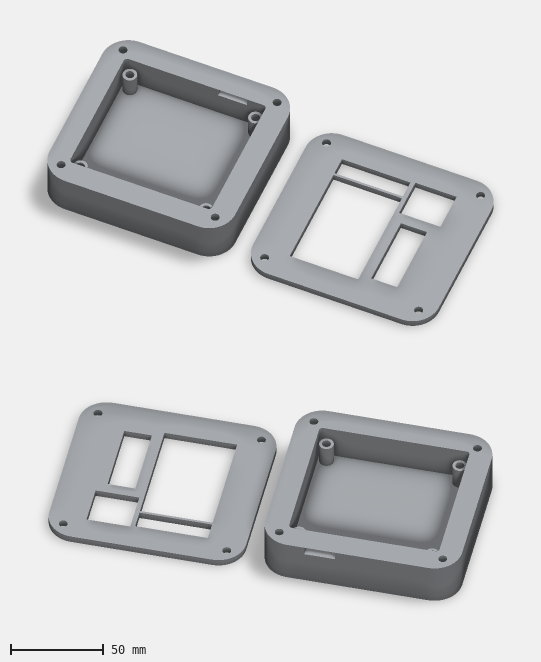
import cadquery as cq

CASE_LENGTH = 108.8
CASE_WIDTH = 102.5
CASE_HEIGHT = 25.0
CORNER_RADIUS = 15.3
OVERALL_LENGTH = 228.0
LID_THICKNESS = 4.0
LID_SHIFT = OVERALL_LENGTH - CASE_LENGTH

SCREW_HOLE_DIAMETER = 4.8
SCREW_SPACING_X = 90.3
SCREW_SPACING_Y = 84.6
SCREW_CENTER_Y = 0.5

FLOOR_THICKNESS = 5.0
CAVITY_LENGTH = 83.0
CAVITY_WIDTH = 76.5
CAVITY_RADIUS = 2.0
CAVITY_CENTER_X = -0.5
POST_DIAMETER = 8.0
POST_HOLE_DIAMETER = 4.8
POST_HEIGHT = 13.0
POST_SPACING_X = 73.7
POST_SPACING_Y = 67.5

SLOT_LENGTH = 16.9
SLOT_HEIGHT = 4.8
SLOT_ROOF = 0.2
SLOT_CORNER_GAP = 11.6

DISPLAY_LEFT = 21.2
DISPLAY_LENGTH = 40.1
LID_WINDOWS = [
    (DISPLAY_LEFT, 15.7, DISPLAY_LENGTH, 59.8),
    (DISPLAY_LEFT, 76.9, DISPLAY_LENGTH, 10.3),
    (63.9, 66.0, 24.2, 22.1),
    (67.5, 19.2, 15.3, 40.5),
]


def rounded_plate(height):
    """Rounded rectangular block standing on the base plane."""
    plate = cq.Workplane("XY").rect(CASE_LENGTH, CASE_WIDTH).extrude(height)
    return plate.edges("|Z").fillet(CORNER_RADIUS)


def screw_holes(bottom, top):
    """Cylinders at the four corner screw positions, from bottom to top heights."""
    return (
        cq.Workplane("XY", origin=(0, SCREW_CENTER_Y, bottom))
        .rect(SCREW_SPACING_X, SCREW_SPACING_Y, forConstruction=True)
        .vertices()
        .circle(SCREW_HOLE_DIAMETER / 2)
        .extrude(top - bottom)
    )


def make_cavity():
    depth = CASE_HEIGHT - FLOOR_THICKNESS
    cavity = (
        cq.Workplane("XY", origin=(CAVITY_CENTER_X, 0, FLOOR_THICKNESS))
        .rect(CAVITY_LENGTH, CAVITY_WIDTH)
        .extrude(depth)
    )
    return cavity.edges("|Z").fillet(CAVITY_RADIUS)


def make_posts():
    """Four hollow posts rising from the cavity floor."""
    return (
        cq.Workplane("XY", origin=(CAVITY_CENTER_X, 0, FLOOR_THICKNESS))
        .rect(POST_SPACING_X, POST_SPACING_Y, forConstruction=True)
        .vertices()
        .circle(POST_DIAMETER / 2)
        .circle(POST_HOLE_DIAMETER / 2)
        .extrude(POST_HEIGHT)
    )


def make_slot():
    right = CAVITY_CENTER_X + CAVITY_LENGTH / 2 - SLOT_CORNER_GAP
    wall_inside = CAVITY_WIDTH / 2
    wall_thickness = CASE_WIDTH / 2 - wall_inside
    bottom = CASE_HEIGHT - SLOT_ROOF - SLOT_HEIGHT
    slot = cq.Workplane("XY").box(SLOT_LENGTH, wall_thickness, SLOT_HEIGHT, centered=False)
    return slot.translate((right - SLOT_LENGTH, wall_inside, bottom))


def make_case():
    """Case with blind screw holes that stop level with the cavity floor."""
    case = rounded_plate(CASE_HEIGHT).cut(make_cavity()).cut(screw_holes(FLOOR_THICKNESS, CASE_HEIGHT))
    return case.cut(make_slot()).union(make_posts())


def make_lid():
    lid = rounded_plate(LID_THICKNESS).cut(screw_holes(0, LID_THICKNESS))
    for left, bottom, length, width in LID_WINDOWS:
        window = cq.Workplane("XY").box(length, width, LID_THICKNESS, centered=False)
        lid = lid.cut(window.translate((left - CASE_LENGTH / 2, bottom - CASE_WIDTH / 2, 0)))
    return lid.translate((LID_SHIFT, 0, 0))


case = make_case()
lid = make_lid()
result = cq.Compound.makeCompound([case.val(), lid.val()])